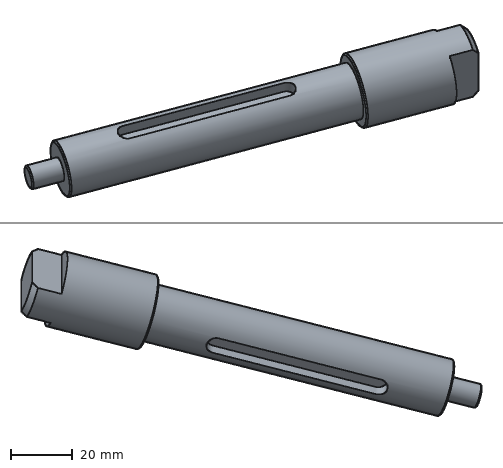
import cadquery as cq

total_length = 153.0
head_length = 41.0
pin_length = 11.0

head_diameter = 25.0
shaft_diameter = 19.0
pin_diameter = 8.0

head_end_chamfer = 2.0
edge_chamfer = 0.5

tang_width = 12.0
tang_length = 10.0

keyway_length = 61.0
keyway_width = 6.0
keyway_depth = 4.5
keyway_center_from_shoulder = 50.5

pin_end = -total_length / 2
shaft_end = pin_end + pin_length
head_end = total_length / 2
shoulder = head_end - head_length
keyway_center = shoulder - keyway_center_from_shoulder


def turned_body():
    """Stepped head, shaft and pin, turned in one piece about the Y axis."""
    head_radius = head_diameter / 2
    shaft_radius = shaft_diameter / 2
    pin_radius = pin_diameter / 2
    half_profile = [
        (pin_end, 0),
        (pin_end, pin_radius - edge_chamfer),
        (pin_end + edge_chamfer, pin_radius),
        (shaft_end, pin_radius),
        (shaft_end, shaft_radius - edge_chamfer),
        (shaft_end + edge_chamfer, shaft_radius),
        (shoulder, shaft_radius),
        (shoulder, head_radius - edge_chamfer),
        (shoulder + edge_chamfer, head_radius),
        (head_end - head_end_chamfer, head_radius),
        (head_end, head_radius - head_end_chamfer),
        (head_end, 0),
    ]
    return cq.Workplane("YZ").polyline(half_profile).close().revolve(360, (0, 0), (1, 0))


def tang_cutter(side):
    """Block removed from one side (+1 or -1 in X) of the head to leave the tang."""
    cut_width = (head_diameter - tang_width) / 2
    cut_center_x = side * (tang_width + cut_width) / 2
    cut_center_y = head_end - tang_length / 2
    block = cq.Workplane("XY").box(cut_width, tang_length, head_diameter)
    return block.translate((cut_center_x, cut_center_y, 0))


def keyway_cutter(side):
    """Round-ended slot sunk into the shaft from the top (+1) or bottom (-1)."""
    floor_z = side * (shaft_diameter / 2 - keyway_depth)
    floor = cq.Workplane("XY", origin=(0, keyway_center, floor_z))
    return floor.slot2D(keyway_length, keyway_width, 90).extrude(side * keyway_depth)


result = turned_body()
for side in (1, -1):
    result = result.cut(tang_cutter(side))
    result = result.cut(keyway_cutter(side))